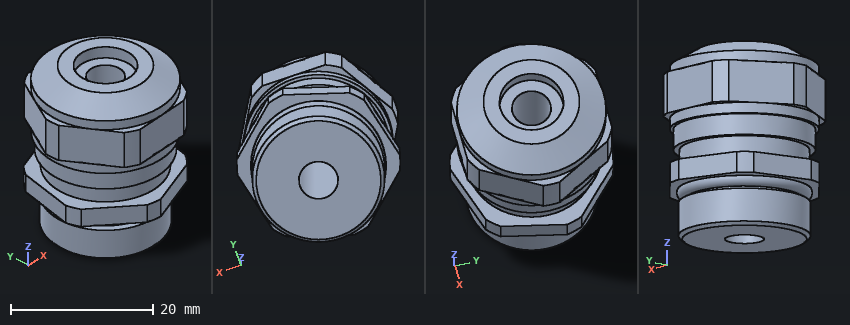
import cadquery as cq
import math


thread_top = 5.22
seal_bottom = 5.8
body_hex_bottom = 7.03
body_hex_height = 2.98
neck_top = 12.82
collar_top = 15.82
cap_ring_height = 1.51
cap_hex_height = 5.98
total_height = 27.05

thread_diameter = 18.6
groove_diameter = 16.4
seal_diameter = 19.05
neck_diameter = 18.3
collar_diameter = 20.0
cap_diameter = 21.0
cap_face_diameter = 13.5

hex_across_flats = cap_diameter
hex_corner_diameter = 23.0
body_hex_angle = 17.6

thread_chamfer_height = 0.5
thread_chamfer_width = 0.55

seal_section_diameter = 1.79

cable_hole_diameter = 5.5
recess_diameter = 9.0
recess_depth = 1.9

hex_sharp_diameter = hex_across_flats / math.cos(math.radians(30))

body_hex_top = body_hex_bottom + body_hex_height
cap_hex_bottom = collar_top + cap_ring_height
cap_hex_top = cap_hex_bottom + cap_hex_height
cone_bottom = cap_hex_top + cap_ring_height


def disc(diameter, bottom, top):
    """Plain cylinder between two levels."""
    return cq.Workplane("XY").workplane(offset=bottom).circle(diameter / 2).extrude(top - bottom)


def hexagon(bottom, top, corner_angle):
    """Hexagonal prism with turned-down corners, one corner at the given angle from +X."""
    prism = (
        cq.Workplane("XY")
        .workplane(offset=bottom)
        .polygon(6, hex_sharp_diameter)
        .extrude(top - bottom)
        .rotate((0, 0, 0), (0, 0, 1), corner_angle)
    )
    return prism.intersect(disc(hex_corner_diameter, bottom, top))


def thread():
    """Thread cylinder with a chamfered lower end."""
    return (
        disc(thread_diameter, 0, thread_top)
        .faces("<Z")
        .edges()
        .chamfer(thread_chamfer_height, thread_chamfer_width)
    )


def seal():
    """O-ring of round section, partly sunk into the underside of the body hexagon."""
    section_radius = seal_section_diameter / 2
    outer_radius = seal_diameter / 2
    centre_radius = outer_radius - section_radius
    seal_middle = seal_bottom + section_radius
    seal_top = seal_bottom + seal_section_diameter
    return (
        cq.Workplane("XZ")
        .moveTo(0, seal_bottom)
        .lineTo(centre_radius, seal_bottom)
        .threePointArc((outer_radius, seal_middle), (centre_radius, seal_top))
        .lineTo(0, seal_top)
        .close()
        .revolve(360, (0, 0), (0, 1))
    )


def cap_cone():
    """Conical top of the cap nut, ending in a flat face."""
    return (
        cq.Workplane("XY")
        .workplane(offset=cone_bottom)
        .circle(cap_diameter / 2)
        .workplane(offset=total_height - cone_bottom)
        .circle(cap_face_diameter / 2)
        .loft(ruled=True)
    )


body = (
    thread()
    .union(disc(groove_diameter, thread_top, seal_bottom))
    .union(seal())
    .union(hexagon(body_hex_bottom, body_hex_top, body_hex_angle))
    .union(disc(neck_diameter, body_hex_top, neck_top))
    .union(disc(collar_diameter, neck_top, collar_top))
)

cap = (
    disc(cap_diameter, collar_top, cone_bottom)
    .union(hexagon(cap_hex_bottom, cap_hex_top, 0))
    .union(cap_cone())
)

cable_hole = disc(cable_hole_diameter, 0, total_height)
recess = disc(recess_diameter, total_height - recess_depth, total_height)

result = body.union(cap).cut(cable_hole).cut(recess)